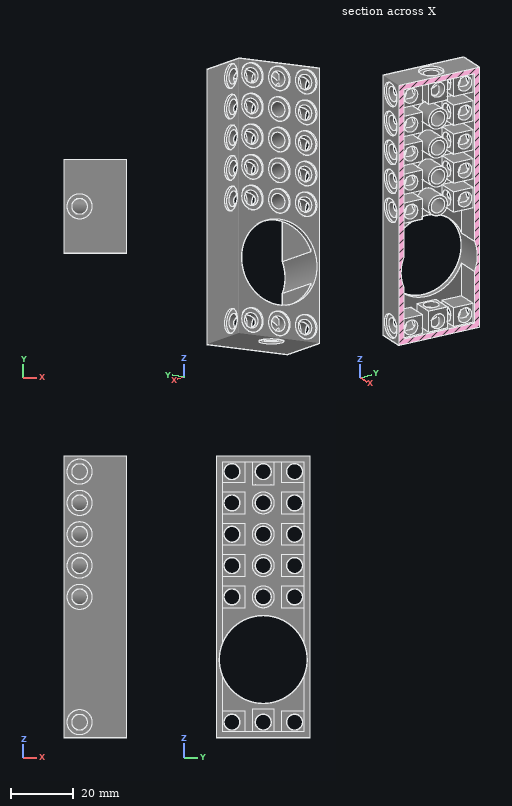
import cadquery as cq
depth = 20.0
width = 30.0
height = 90.0
wall = 2.0
edge_radius = 0.1

pitch = 10.0
columns = [-pitch, 0.0, pitch]
hole_diameter = 5.0
recess_diameter = 8.0
recess_depth = 0.75
axis_depth = pitch / 2
boss_width = 7.0
boss_end = 9.25

opening_diameter = 28.0
opening_z = 25.0

bottom_row = axis_depth
top_row = height - axis_depth
upper_row_count = 5
upper_rows = [top_row - i * pitch for i in range(upper_row_count)]
rows = upper_rows + [bottom_row]

along_x = cq.Vector(1, 0, 0)
along_y = cq.Vector(0, 1, 0)
along_z = cq.Vector(0, 0, 1)


def cylinder(start, direction, diameter, length):
    return cq.Workplane(obj=cq.Solid.makeCylinder(diameter / 2, length, cq.Vector(*start), direction))


def peg_hole(entry, direction, length):
    """Bore with a shallow recess around its entry."""
    bore = cylinder(entry, direction, hole_diameter, length)
    recess = cylinder(entry, direction, recess_diameter, recess_depth)
    return bore.union(recess)


def make_outer_box():
    box = cq.Workplane().box(depth, width, height, centered=(False, True, False))
    return box.edges("not >X").fillet(edge_radius)


def cut_cavity(body):
    """Hollow the box from +X, leaving one wall on the other five sides."""
    cavity = cq.Workplane().box(
        depth, width - 2 * wall, height - 2 * wall, centered=(False, True, False)
    )
    return body.cut(cavity.translate((wall, 0, wall)))


def add_round_bosses(body):
    """Tubes around the middle holes that no other hole crosses."""
    for z in upper_rows[1:]:
        body = body.union(cylinder((0, 0, z), along_x, boss_width, boss_end))
    return body


def add_side_blocks(body):
    """Blocks against the side walls, where the X and Y holes cross."""
    block = cq.Workplane().box(boss_end, boss_end, boss_width, centered=(False, True, True))
    offset = (width - boss_end) / 2
    for z in rows:
        for y in (-offset, offset):
            body = body.union(block.translate((0, y, z)))
    return body


def add_end_blocks(body):
    """Blocks against the top and bottom walls, where the X and Z holes cross."""
    block = cq.Workplane().box(boss_end, boss_width, boss_end, centered=(False, True, False))
    for z in (0, height - boss_end):
        body = body.union(block.translate((0, 0, z)))
    return body


def cut_peg_holes(body):
    for z in rows:
        for y in columns:
            body = body.cut(peg_hole((0, y, z), along_x, boss_end))
        body = body.cut(peg_hole((axis_depth, -width / 2, z), along_y, boss_end))
        body = body.cut(peg_hole((axis_depth, width / 2, z), -along_y, boss_end))
    body = body.cut(peg_hole((axis_depth, 0, 0), along_z, boss_end))
    return body.cut(peg_hole((axis_depth, 0, height), -along_z, boss_end))


def cut_opening(body):
    return body.cut(cylinder((0, 0, opening_z), along_x, opening_diameter, depth))


outer_box = make_outer_box()
body = cut_cavity(outer_box)
body = add_round_bosses(body)
body = add_side_blocks(body)
body = add_end_blocks(body)
body = body.intersect(outer_box)
body = cut_peg_holes(body)
result = cut_opening(body)